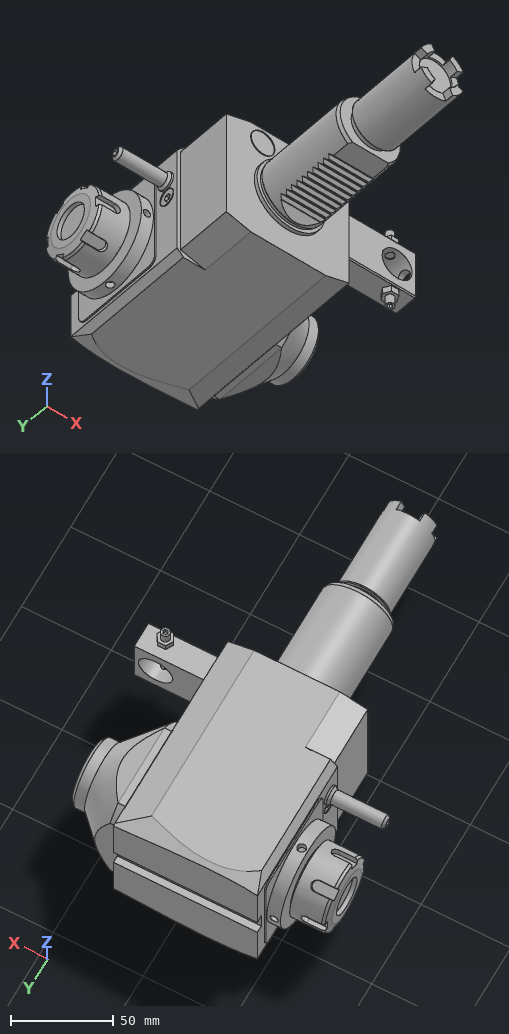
import cadquery as cq
import math

CUT_MARGIN = 1.0

HOUSING_LENGTH = 116.0
HOUSING_HALF_HEIGHT = 37.5
HOUSING_LEFT = -41.5
HOUSING_RIGHT = 38.8
TOP_FLAT_LEFT = -37.6
TOP_FLAT_RIGHT = 24.0
SIDE_HALF_HEIGHT = 33.4
STEP_LENGTH = 34.8
STEP_LEFT = -39.3
STEP_FLAT_LEFT = -23.7

REAR_EDGE = [
    (HOUSING_LEFT, SIDE_HALF_HEIGHT),
    (-27.0, 35.95),
    (-13.0, 36.55),
    (4.0, 35.95),
    (TOP_FLAT_RIGHT, 34.2),
    (HOUSING_RIGHT, 33.0),
]
REAR_SLOPE = 0.28
REAR_CUT_LENGTH = 25.0
KEYWAY_WIDTH = 10.4
KEYWAY_DEPTH = 4.0
PLUG_X = -15.9
PLUG_Z = 28.0
PLUG_RADIUS = 7.5
SEAT_DEPTH = 0.5

SPINDLE_Y = 80.0
PAD_THICKNESS = 0.8
PAD_REAR = 109.0
PAD_FRONT = 51.0
PAD_HALF_HEIGHT = 31.3
PAD_CORNER = 5.0
FLANGE_FACE = -49.9
FLANGE_RADIUS = 28.0
FLANGE_HOLE_X = -46.4
FLANGE_HOLE_RADIUS = 2.3
FLANGE_HOLE_DEPTH = 4.0
DRILL_POINT_HEIGHT = 1.4
FLANGE_HOLE_COUNT = 4
NECK_RADIUS = 18.0
NUT_BACK = -51.2
NUT_RADIUS = 21.0
NUT_RIM_X = -68.8
NUT_SHOULDER_X = -70.4
NUT_SHOULDER_RADIUS = 20.4
NUT_FACE = -71.5
NUT_FACE_RADIUS = 15.0
COLLET_RADIUS = 10.4
COLLET_DEPTH = 2.5
NUT_SLOT_COUNT = 6
NUT_SLOT_WIDTH = 6.0
NUT_SLOT_END = -57.5
NUT_SLOT_FLOOR = 18.2

PIN_Y = 43.0
PIN_Z = 17.5
PIN_TIP = -74.0
PIN_RADIUS = 4.0
PIN_CHAMFER = 1.5
PIN_COLLAR_RADIUS = 5.3
PIN_COLLAR_START = -44.2
PIN_COLLAR_END = -42.6
SET_SCREW_Z = 7.3
SET_SCREW_RADIUS = 5.0
SOCKET_ACROSS_CORNERS = 4.2
SOCKET_DEPTH = 3.0

COVER_RADIUS = 40.3
COVER_CONE_START = 43.0
COVER_HUB_RADIUS = 19.3
COVER_CONE_END = COVER_CONE_START + COVER_RADIUS - COVER_HUB_RADIUS
COVER_HUB_END = 72.0
COVER_HUB_CHAMFER = 2.0
COVER_REAR_FLAT = 111.7
COVER_HALF_HEIGHT = 32.7
COVER_FLAT_TAPER = math.tan(math.radians(15))

OVERALL_X = 156.14
ARM_END = PIN_TIP + OVERALL_X
ARM_FRONT = 1.0
ARM_REAR = 16.0
ARM_HALF_HEIGHT = 15.2
ARM_CHAMFER = 0.7
ARM_HOLE_X = 70.2
ARM_HOLE_RADIUS = 9.5
SCREW_X = 70.0
SCREW_Y = 6.3
SCREW_RADIUS = 2.5
SCREW_HALF_SPAN = 24.9
SCREW_START = 10.0
SCREW_SOCKET_ACROSS_CORNERS = 2.9
SCREW_SOCKET_DEPTH = 2.5
CROSS_HOLE_Y = 7.3
CROSS_HOLE_RADIUS = 4.8
NUT_ACROSS_FLATS = 8.0
NUT_THICKNESS = 3.9

OVERALL_Y = 233.55
SHANK_TIP = OVERALL_Y - HOUSING_LENGTH
SHANK_RADIUS = 20.0
COLLAR_RADIUS = 21.5
COLLAR_LENGTH = 2.2
RELIEF_RADIUS = 19.4
RELIEF_END = 4.1
SHANK_CHAMFER_START = 60.5
SHANK_END = 62.7
SHANK_END_RADIUS = 19.2
UNDERCUT_RADIUS = 12.2
UNDERCUT_END = 66.4
DRIVE_RADIUS = 15.0
DRIVE_CHAMFER = 0.5
DRIVE_SLOT_FLOOR = 112.4
DRIVE_BORE_RADIUS = 10.4
DRIVE_BORE_FLOOR = 111.4
DRIVE_SLOT_HALF_ANGLE = math.radians(26)
DRIVE_SLOT_COUNT = 4

FLAT_Z = -15.6
FLAT_START = 9.6
SERRATION_START = 11.6
SERRATION_PITCH = 4.04
SERRATION_DEPTH = 1.5
SERRATION_HALF_WIDTH = 1.7
SERRATION_COUNT = 10


def box(x_range, y_range, z_range):
    """Axis-aligned box between the given limits."""
    sizes = [high - low for low, high in (x_range, y_range, z_range)]
    corner = (x_range[0], y_range[0], z_range[0])
    return cq.Workplane("XY").box(*sizes, centered=False).translate(corner)


def turned_on_x(profile, y, z=0.0):
    """Solid turned about a line parallel to X; profile holds (X, radius) points."""
    points = [(profile[0][0], 0.0)] + profile + [(profile[-1][0], 0.0)]
    solid = cq.Workplane("XY").polyline(points).close().revolve(360, (0, 0, 0), (1, 0, 0))
    return solid.translate((0, y, z))


def turned_on_shank(profile):
    """Solid turned about the shank axis; profile holds (distance, radius) points."""
    points = [(0.0, -profile[0][0])] + [(r, -d) for d, r in profile] + [(0.0, -profile[-1][0])]
    return cq.Workplane("XY").polyline(points).close().revolve(360, (0, 0, 0), (0, 1, 0))


def prism_along_y(outline, y_start, y_end):
    """Extrude an (X, Z) outline from y_start to y_end."""
    plane = cq.Workplane("XZ", origin=(0, y_end, 0))
    return plane.polyline(outline).close().extrude(y_end - y_start)


def housing_outline(left, flat_left):
    """Octagonal housing section, symmetric about Z = 0."""
    upper = [
        (left, SIDE_HALF_HEIGHT),
        (flat_left, HOUSING_HALF_HEIGHT),
        (TOP_FLAT_RIGHT, HOUSING_HALF_HEIGHT),
        (HOUSING_RIGHT, SIDE_HALF_HEIGHT),
    ]
    return upper + [(x, -z) for x, z in reversed(upper)]


def rear_slope_cutter():
    """Material above the crowned rear edge, swept forwards and upwards."""
    margin = 5.0
    top = HOUSING_HALF_HEIGHT + margin
    rear = cq.Workplane("XZ", origin=(0, HOUSING_LENGTH + CUT_MARGIN, -CUT_MARGIN * REAR_SLOPE))
    profile = (
        rear.moveTo(*REAR_EDGE[0])
        .spline(REAR_EDGE[1:], includeCurrent=True)
        .lineTo(HOUSING_RIGHT + margin, REAR_EDGE[-1][1])
        .lineTo(HOUSING_RIGHT + margin, top)
        .lineTo(HOUSING_LEFT - margin, top)
        .lineTo(HOUSING_LEFT - margin, REAR_EDGE[0][1])
        .close()
    )
    sweep = cq.Vector(0, -REAR_CUT_LENGTH, REAR_CUT_LENGTH * REAR_SLOPE)
    return cq.Workplane(cq.Solid.extrudeLinear(profile.val(), [], sweep))


def make_housing():
    main = prism_along_y(housing_outline(HOUSING_LEFT, TOP_FLAT_LEFT), STEP_LENGTH, HOUSING_LENGTH)
    step = prism_along_y(housing_outline(STEP_LEFT, STEP_FLAT_LEFT), 0.0, STEP_LENGTH)
    keyway = box(
        (HOUSING_LEFT, HOUSING_RIGHT),
        (HOUSING_LENGTH - KEYWAY_DEPTH, HOUSING_LENGTH),
        (-KEYWAY_WIDTH / 2, KEYWAY_WIDTH / 2),
    )
    plug_seat = (
        cq.Workplane("XZ", origin=(PLUG_X, SEAT_DEPTH, PLUG_Z)).circle(PLUG_RADIUS).extrude(SEAT_DEPTH)
    )
    slope = rear_slope_cutter()
    return main.union(step).cut(slope).cut(slope.mirror("XY")).cut(keyway).cut(plug_seat)


def make_nut_slot():
    """Round-ended spanner slot on the +Z side of the clamping nut."""
    radius = NUT_SLOT_WIDTH / 2
    depth = NUT_RADIUS - NUT_SLOT_FLOOR + CUT_MARGIN
    centre_x = NUT_SLOT_END - radius
    plane = cq.Workplane("XY", origin=(centre_x, SPINDLE_Y, NUT_SLOT_FLOOR))
    round_end = plane.circle(radius).extrude(depth)
    channel = box(
        (NUT_FACE - CUT_MARGIN, centre_x),
        (SPINDLE_Y - radius, SPINDLE_Y + radius),
        (NUT_SLOT_FLOOR, NUT_SLOT_FLOOR + depth),
    )
    return channel.union(round_end)


def around_spindle(solid, angle):
    """Turn a solid about the spindle axis by an angle in degrees."""
    return solid.rotate((0, SPINDLE_Y, 0), (1, SPINDLE_Y, 0), angle)


def make_flange_hole():
    """Drilled radial hole on the +Z side of the flange, with a conical floor."""
    floor = FLANGE_RADIUS - FLANGE_HOLE_DEPTH
    profile = [
        (0, floor - DRILL_POINT_HEIGHT),
        (FLANGE_HOLE_RADIUS, floor),
        (FLANGE_HOLE_RADIUS, FLANGE_RADIUS),
        (0, FLANGE_RADIUS),
    ]
    hole = cq.Workplane("XZ").polyline(profile).close().revolve(360, (0, 0, 0), (0, 1, 0))
    return hole.translate((FLANGE_HOLE_X, SPINDLE_Y, 0))


def make_spindle():
    pad = (
        box(
            (HOUSING_LEFT - PAD_THICKNESS, HOUSING_LEFT),
            (PAD_FRONT, PAD_REAR),
            (-PAD_HALF_HEIGHT, PAD_HALF_HEIGHT),
        )
        .edges("|X")
        .fillet(PAD_CORNER)
    )
    turned = turned_on_x(
        [
            (NUT_FACE, NUT_FACE_RADIUS),
            (NUT_SHOULDER_X, NUT_SHOULDER_RADIUS),
            (NUT_RIM_X, NUT_RADIUS),
            (NUT_BACK, NUT_RADIUS),
            (NUT_BACK, NECK_RADIUS),
            (FLANGE_FACE, NECK_RADIUS),
            (FLANGE_FACE, FLANGE_RADIUS),
            (HOUSING_LEFT, FLANGE_RADIUS),
        ],
        SPINDLE_Y,
    )
    collet = turned_on_x([(NUT_FACE, COLLET_RADIUS), (NUT_FACE + COLLET_DEPTH, COLLET_RADIUS)], SPINDLE_Y)
    spindle = pad.union(turned).cut(collet)

    slot = make_nut_slot()
    for index in range(NUT_SLOT_COUNT):
        spindle = spindle.cut(around_spindle(slot, (index + 0.5) * 360 / NUT_SLOT_COUNT))

    hole = make_flange_hole()
    for index in range(FLANGE_HOLE_COUNT):
        spindle = spindle.cut(around_spindle(hole, index * 360 / FLANGE_HOLE_COUNT))
    return spindle


def hex_socket(face_x, z):
    """Hexagonal key recess entering a -X face at the pin's Y position."""
    plane = cq.Workplane("YZ", origin=(face_x, PIN_Y, z))
    return plane.polygon(6, SOCKET_ACROSS_CORNERS).extrude(SOCKET_DEPTH)


def make_pin():
    pin = turned_on_x(
        [
            (PIN_TIP, PIN_RADIUS - PIN_CHAMFER),
            (PIN_TIP + PIN_CHAMFER, PIN_RADIUS),
            (PIN_COLLAR_START, PIN_RADIUS),
            (PIN_COLLAR_END, PIN_COLLAR_RADIUS),
            (HOUSING_LEFT, PIN_COLLAR_RADIUS),
        ],
        PIN_Y,
        PIN_Z,
    )
    return pin.cut(hex_socket(PIN_TIP, PIN_Z))


def make_set_screw_recess():
    seat_floor = HOUSING_LEFT + SEAT_DEPTH
    seat = turned_on_x(
        [(HOUSING_LEFT, SET_SCREW_RADIUS), (seat_floor, SET_SCREW_RADIUS)], PIN_Y, SET_SCREW_Z
    )
    return seat.union(hex_socket(seat_floor, SET_SCREW_Z))


def make_cover():
    cover = turned_on_x(
        [
            (HOUSING_RIGHT, COVER_RADIUS),
            (COVER_CONE_START, COVER_RADIUS),
            (COVER_CONE_END, COVER_HUB_RADIUS),
            (COVER_HUB_END - COVER_HUB_CHAMFER, COVER_HUB_RADIUS),
            (COVER_HUB_END, COVER_HUB_RADIUS - COVER_HUB_CHAMFER),
        ],
        SPINDLE_Y,
    )
    end_half_height = COVER_HALF_HEIGHT - (COVER_HUB_END - COVER_CONE_START) * COVER_FLAT_TAPER
    upper = [
        (HOUSING_RIGHT, COVER_HALF_HEIGHT),
        (COVER_CONE_START, COVER_HALF_HEIGHT),
        (COVER_HUB_END, end_half_height),
    ]
    envelope_outline = upper + [(x, -z) for x, z in reversed(upper)]
    envelope = prism_along_y(envelope_outline, SPINDLE_Y - COVER_RADIUS, COVER_REAR_FLAT)
    return cover.intersect(envelope)


def make_arm_screw():
    """Screw with its lock nut on the top of the arm."""
    screw = (
        cq.Workplane("XY", origin=(SCREW_X, SCREW_Y, SCREW_START))
        .circle(SCREW_RADIUS)
        .extrude(SCREW_HALF_SPAN - SCREW_START)
    )
    across_corners = NUT_ACROSS_FLATS / math.cos(math.radians(30))
    nut = (
        cq.Workplane("XY", origin=(SCREW_X, SCREW_Y, ARM_HALF_HEIGHT))
        .polygon(6, across_corners)
        .extrude(NUT_THICKNESS)
    )
    socket = (
        cq.Workplane("XY", origin=(SCREW_X, SCREW_Y, SCREW_HALF_SPAN - SCREW_SOCKET_DEPTH))
        .polygon(6, SCREW_SOCKET_ACROSS_CORNERS)
        .extrude(SCREW_SOCKET_DEPTH)
    )
    return screw.union(nut).cut(socket)


def make_arm():
    arm = (
        box((HOUSING_RIGHT, ARM_END), (ARM_FRONT, ARM_REAR), (-ARM_HALF_HEIGHT, ARM_HALF_HEIGHT))
        .faces("<Y")
        .edges("|X")
        .chamfer(ARM_CHAMFER)
    )
    screw = make_arm_screw()
    hole = (
        cq.Workplane("XZ", origin=(ARM_HOLE_X, ARM_REAR, 0))
        .circle(ARM_HOLE_RADIUS)
        .extrude(ARM_REAR - ARM_FRONT)
    )
    screw_hole = (
        cq.Workplane("XY", origin=(SCREW_X, SCREW_Y, -SCREW_START))
        .circle(SCREW_RADIUS)
        .extrude(2 * SCREW_START)
    )
    cross_hole = (
        cq.Workplane("YZ", origin=(ARM_HOLE_X, CROSS_HOLE_Y, 0))
        .circle(CROSS_HOLE_RADIUS)
        .extrude(ARM_END - ARM_HOLE_X)
    )
    arm = arm.union(screw).union(screw.mirror("XY"))
    return arm.cut(hole).cut(screw_hole).cut(cross_hole)


def make_clamping_flat():
    """Cutter for the flat: sloped at the collar end, with serrations cut into it."""
    below = FLAT_Z - SHANK_RADIUS
    outline = [
        (-FLAT_START + FLAT_Z - below, below),
        (-FLAT_START, FLAT_Z),
    ]
    for index in range(SERRATION_COUNT):
        root = -SERRATION_START - index * SERRATION_PITCH
        outline += [
            (root + SERRATION_HALF_WIDTH, FLAT_Z),
            (root, FLAT_Z + SERRATION_DEPTH),
            (root - SERRATION_HALF_WIDTH, FLAT_Z),
        ]
    outline += [(-SHANK_END, FLAT_Z), (-SHANK_END, below)]
    return cq.Workplane("YZ").polyline(outline).close().extrude(COLLAR_RADIUS, both=True)


def make_drive_slot():
    """Wedge with radial sides, centred on +X, between two driving teeth."""
    reach = 2 * DRIVE_RADIUS
    half_width = reach * math.tan(DRIVE_SLOT_HALF_ANGLE)
    wedge = [(0, 0), (reach, half_width), (reach, -half_width)]
    return prism_along_y(wedge, -SHANK_TIP, -DRIVE_SLOT_FLOOR)


def make_shank():
    shank = turned_on_shank(
        [
            (0.0, COLLAR_RADIUS),
            (COLLAR_LENGTH, COLLAR_RADIUS),
            (COLLAR_LENGTH, RELIEF_RADIUS),
            (RELIEF_END, RELIEF_RADIUS),
            (RELIEF_END, SHANK_RADIUS),
            (SHANK_CHAMFER_START, SHANK_RADIUS),
            (SHANK_END, SHANK_END_RADIUS),
            (SHANK_END, UNDERCUT_RADIUS),
            (UNDERCUT_END, UNDERCUT_RADIUS),
            (UNDERCUT_END, DRIVE_RADIUS - DRIVE_CHAMFER),
            (UNDERCUT_END + DRIVE_CHAMFER, DRIVE_RADIUS),
            (SHANK_TIP, DRIVE_RADIUS),
        ]
    )
    bore = turned_on_shank([(DRIVE_BORE_FLOOR, DRIVE_BORE_RADIUS), (SHANK_TIP, DRIVE_BORE_RADIUS)])
    shank = shank.cut(make_clamping_flat()).cut(bore)
    slot = make_drive_slot()
    for index in range(DRIVE_SLOT_COUNT):
        shank = shank.cut(slot.rotate((0, 0, 0), (0, 1, 0), index * 360 / DRIVE_SLOT_COUNT))
    return shank


result = make_housing()
for component in (make_spindle(), make_pin(), make_cover(), make_arm(), make_shank()):
    result = result.union(component)
result = result.cut(make_set_screw_recess())